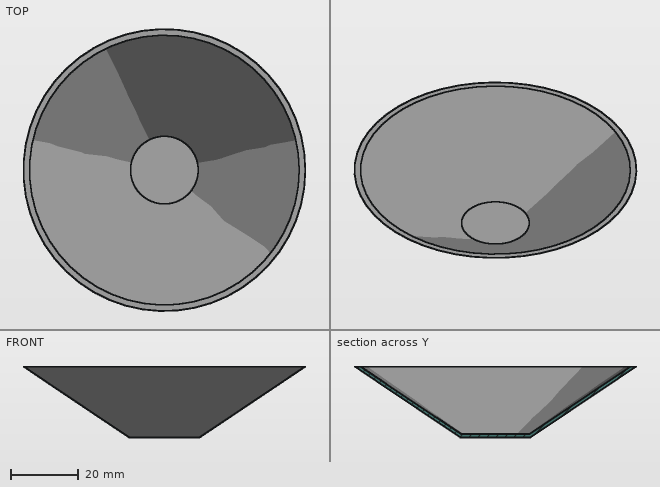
import cadquery as cq

rim_radius = 41.8
height = 21.1

base_radius = 10.4
rim_width = 1.8
floor_thickness = 1.1

cavity_top_radius = rim_radius - rim_width
cavity_floor_radius = 10.0

result = (
    cq.Workplane("XZ")
    .moveTo(0, 0)
    .lineTo(base_radius, 0)
    .lineTo(rim_radius, height)
    .lineTo(cavity_top_radius, height)
    .lineTo(cavity_floor_radius, floor_thickness)
    .lineTo(0, floor_thickness)
    .close()
    .revolve(360, (0, 0), (0, 1))
)